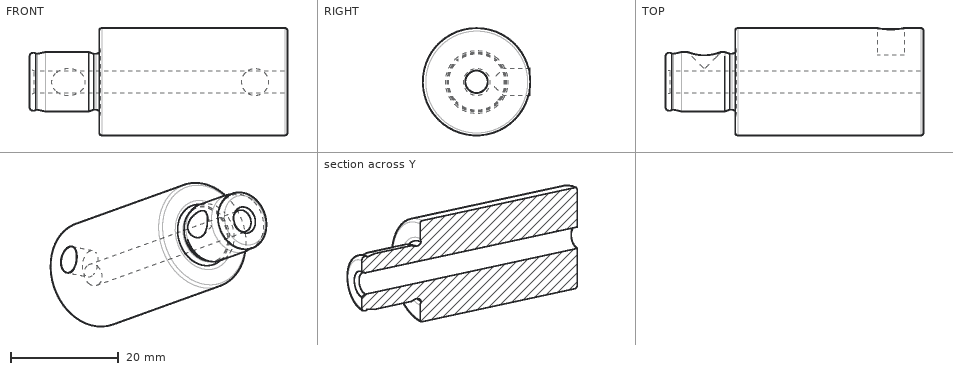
import cadquery as cq
import math

total_length = 48.0
shoulder_x = 12.95
lead_in_start_x = 1.5
land_start_x = 2.95
land_end_x = 11.0
neck_start_x = 11.95

body_radius = 10.01
land_radius = 5.545
nose_face_radius = 4.7
nose_round = 0.7
neck_radius = 5.25
undercut_outer_radius = 6.6
neck_fillet_radius = 0.8
undercut_ramp_angle = 15.0
body_edge_round = 0.55

bore_radius = 2.05
bore_chamfer_width = 0.45
bore_chamfer_depth = 0.75

seat_x = 7.2
seat_rim_radius = 3.1

plug_x = 41.9
plug_radius = 2.5
plug_length = 4.8
plug_recess = 0.15
plug_top_y = body_radius - plug_recess
plug_bottom_y = plug_top_y - plug_length


def radial_cylinder(x, radius, bottom_y, top_y):
    """Cylinder along +Y at axial position x."""
    return cq.Workplane(
        cq.Solid.makeCylinder(radius, top_y - bottom_y, cq.Vector(x, bottom_y, 0), cq.Vector(0, 1, 0))
    )


def turned_blank():
    """Spigot, undercut shoulder and cylindrical body, revolved about X."""
    nose_crest = (nose_round, nose_face_radius + nose_round)
    nose_dip = neck_radius - nose_face_radius
    nose_end_x = nose_round + math.sqrt(nose_round**2 - nose_dip**2)

    ramp = math.radians(undercut_ramp_angle)
    fillet_center_r = neck_radius + neck_fillet_radius
    ramp_start_r = fillet_center_r - neck_fillet_radius * math.sin(ramp)
    ramp_start_x = shoulder_x + (undercut_outer_radius - ramp_start_r) * math.tan(ramp)
    fillet_start_x = ramp_start_x - neck_fillet_radius * math.cos(ramp)
    fillet_mid_angle = (math.pi / 2 - ramp) / 2
    fillet_mid = (
        fillet_start_x + neck_fillet_radius * math.sin(fillet_mid_angle),
        fillet_center_r - neck_fillet_radius * math.cos(fillet_mid_angle),
    )

    profile = (
        cq.Workplane("XZ")
        .moveTo(0, 0)
        .lineTo(0, nose_face_radius)
        .threePointArc(nose_crest, (nose_end_x, neck_radius))
        .lineTo(lead_in_start_x, neck_radius)
        .lineTo(land_start_x, land_radius)
        .lineTo(land_end_x, land_radius)
        .lineTo(neck_start_x, neck_radius)
        .lineTo(fillet_start_x, neck_radius)
        .threePointArc(fillet_mid, (ramp_start_x, ramp_start_r))
        .lineTo(shoulder_x, undercut_outer_radius)
        .lineTo(shoulder_x, body_radius)
        .lineTo(total_length, body_radius)
        .lineTo(total_length, 0)
        .close()
    )
    blank = profile.revolve(360, (0, 0, 0), (1, 0, 0))
    rim = cq.selectors.RadiusNthSelector(-1)
    return blank.edges("%CIRCLE").edges(rim).fillet(body_edge_round)


def bore_cutter():
    """Through bore with a chamfered mouth at the nose."""
    return (
        cq.Workplane("XZ")
        .polyline([
            (0, 0),
            (0, bore_radius + bore_chamfer_width),
            (bore_chamfer_depth, bore_radius),
            (total_length, bore_radius),
            (total_length, 0),
        ])
        .close()
        .revolve(360, (0, 0, 0), (1, 0, 0))
    )


def seat_cutter():
    """Cone along Y, extended beyond the spigot so that it cuts cleanly."""
    overshoot = 0.5
    height = seat_rim_radius + overshoot
    tip = cq.Vector(seat_x, land_radius - seat_rim_radius, 0)
    return cq.Workplane(cq.Solid.makeCone(0, height, height, tip, cq.Vector(0, 1, 0)))


def make_housing():
    plug_hole = radial_cylinder(plug_x, plug_radius, plug_bottom_y, body_radius)
    return turned_blank().cut(bore_cutter()).cut(seat_cutter()).cut(plug_hole)


def make_plug():
    return radial_cylinder(plug_x, plug_radius, plug_bottom_y, plug_top_y)


housing = make_housing()
plug = make_plug()

result = cq.Compound.makeCompound([housing.solids().val(), plug.val()])